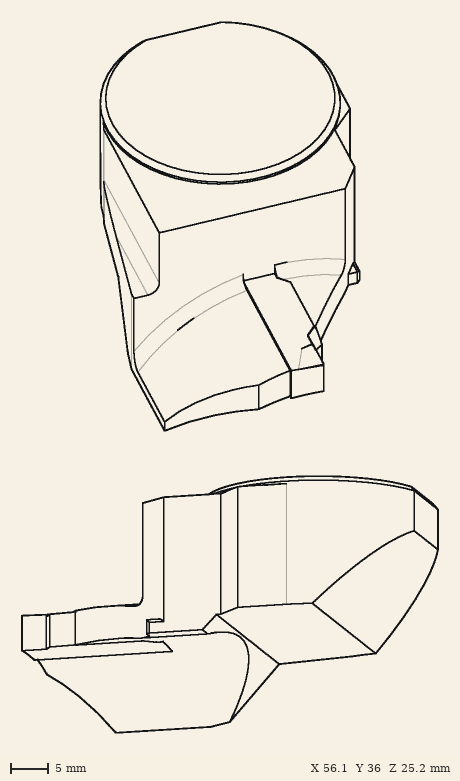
import cadquery as cq
import math


boss_radius = 16.05
boss_top = 17.6
boss_chamfer = 0.75
flat_x = -14.9
flat_chamfer_width = 0.55
nose_cut_x = -3.55

block_top = 16.55
block_front = -16.4
block_end = 21.6
shoulder_x = 6.7
block_back = 12.7
ramp_start_x = 17.9
ramp_end_x = 33.3
ramp_end_y = 1.6
heel_cut_x = 10.6

flange_front = -19.95
flange_top = 5.9
flange_fillet = 1.6
flange_start_x = -1.85
flange_corner = (0, -16.5)
flange_taper_end = 20.6

blade_radius = 24.35
blade_axis_z = -19.9
blade_root_fillet = 1.5
blade_end = 40.3
blade_corner_x = 33.8
blade_corner_y = -8.9
clearance_radius = 30.85
clearance_crown = -0.3
lowest_z = -7.7

ledge_end = 20.4
ledge_floor = -1.95
ledge_chamfer = 0.5

insert_top = 4.4
insert_front = -4.5
insert_wide_y = 1.4
insert_back = 0
insert_tail_x = 22.55
insert_neck_x = 34.7
tip_x = 41.2
tip_relief = 0.45
shoulder_step = 0.15
shoulder_corner = (36.95, 1.25)
shoulder_end_x = 37.8
rake_low_start = (37.0, -1.7)
rake_low_end = (40.85, -3.55)
rake_back_x = 36.7
rake_rise = 0.15

margin = 33.65


def slab(points, bottom, top):
    """Prism with a plan outline between two levels."""
    return cq.Workplane("XY").workplane(offset=bottom).polyline(points).close().extrude(top - bottom)


def side_prism(points):
    """Prism with an XZ outline, passing right through the part along Y."""
    return cq.Workplane("XZ").polyline(points).close().extrude(margin, both=True)


def make_clearance():
    """Convex cylinder that hollows the underside of the heel, blade and insert."""
    axis_z = clearance_crown - clearance_radius
    return (cq.Workplane("YZ").center(0, axis_z).circle(clearance_radius)
            .extrude(2 * margin, both=True))


def make_boss():
    round_part = cq.Workplane("XY").circle(boss_radius).extrude(boss_top)
    round_part = round_part.faces(">Z").edges().chamfer(boss_chamfer)
    flat_envelope = side_prism([
        (flat_x, 0),
        (flat_x, boss_top - boss_chamfer),
        (flat_x + flat_chamfer_width, boss_top),
        (margin, boss_top),
        (margin, 0),
    ])
    return round_part.intersect(flat_envelope)


def make_block():
    drop = boss_radius - block_back
    outline = [
        (0, block_front),
        (block_end, block_front),
        (block_end, insert_back),
        (ramp_end_x, ramp_end_y),
        (ramp_start_x, block_back),
        (shoulder_x + drop, block_back),
        (shoulder_x, boss_radius),
        (0, boss_radius),
    ]
    upper = slab(outline, 0, block_top)
    beyond_end = cq.Workplane("XY").box(margin, 2 * margin, 2 * margin).translate(
        (block_end + margin / 2, 0, 0))
    return upper.cut(beyond_end)


def make_flange():
    """Tapered flange in front of the block, with the fillet that joins it to the block."""
    outline = [
        (flange_start_x, block_front + flange_fillet),
        (flange_start_x, -math.sqrt(boss_radius**2 - flange_start_x**2)),
        flange_corner,
        (flange_taper_end, flange_front),
        (block_end, flange_front),
        (block_end, block_front + flange_fillet),
    ]
    fillet_edge = block_front - flange_fillet
    relief = (
        cq.Workplane("YZ")
        .moveTo(block_front, margin)
        .lineTo(block_front, flange_top + flange_fillet)
        .radiusArc((fillet_edge, flange_top), flange_fillet)
        .lineTo(-margin, flange_top)
        .lineTo(-margin, margin)
        .close()
        .extrude(margin, both=True)
    )
    return slab(outline, 0, block_top).cut(relief)


def make_blade():
    """Heel below the block and the blade beyond it, with the rounded blade top."""
    outline = [
        (0, flange_corner[1]),
        (flange_taper_end, flange_front),
        (blade_corner_x, flange_front),
        (blade_end, blade_corner_y),
        (blade_end, insert_front),
        (ramp_end_x, ramp_end_y),
        (ramp_start_x, block_back),
        (0, block_back),
    ]
    blade = slab(outline, lowest_z, flange_top)
    ledge_depth = block_back / 2
    ledge = cq.Workplane("XY").box(
        ledge_end - heel_cut_x, ledge_depth, -lowest_z, centered=False)
    ledge = ledge.edges("(|Z and >X and >Y) or (>Z and >Y)").chamfer(ledge_chamfer)
    blade = blade.union(ledge.translate((heel_cut_x, block_back - ledge_depth, lowest_z)))

    heel_cut = side_prism([
        (-margin, 0),
        (heel_cut_x, 0),
        (heel_cut_x + margin, -margin),
        (-margin, -margin),
    ])
    ledge_cut = cq.Workplane("XY").box(2 * margin, margin, margin, centered=False).translate(
        (0, 0, ledge_floor - margin))
    flange_relief = cq.Workplane("XY").box(block_end, margin, margin, centered=False).translate(
        (0, block_front + flange_fillet - margin, 0))
    blade_top = (
        cq.Workplane("XZ")
        .moveTo(block_end, blade_axis_z + 2 * margin)
        .lineTo(block_end, blade_axis_z + blade_radius + blade_root_fillet)
        .radiusArc((block_end + blade_root_fillet, blade_axis_z + blade_radius), -blade_root_fillet)
        .lineTo(2 * margin, blade_axis_z + blade_radius)
        .lineTo(2 * margin, blade_axis_z + 2 * margin)
        .close()
        .revolve(360, (0, blade_axis_z, 0), (1, blade_axis_z, 0))
    )
    return blade.cut(heel_cut).cut(ledge_cut).cut(flange_relief).cut(blade_top)


def make_insert():
    wide_step = insert_wide_y - insert_back
    outline = [
        (block_end, insert_front),
        (tip_x - tip_relief, insert_front),
        (tip_x, insert_back),
        (insert_neck_x, insert_back),
        (insert_neck_x - wide_step, insert_wide_y),
        (insert_tail_x + wide_step, insert_wide_y),
        (insert_tail_x, insert_back),
        (block_end, insert_back),
    ]
    bar = slab(outline, lowest_z, insert_top)

    shoulder_outline = [
        (insert_neck_x - wide_step, insert_wide_y),
        (ramp_end_x, ramp_end_y),
        shoulder_corner,
        (shoulder_end_x, insert_back),
        (insert_neck_x, insert_back),
    ]
    shoulder = slab(shoulder_outline, lowest_z, insert_top - shoulder_step)
    return bar.union(shoulder).union(make_rake()).cut(make_clearance())


def make_rake():
    """Tilted facet at the tip: flush along its front edge, rising to the tip."""
    outline = [rake_low_start, rake_low_end, (tip_x, insert_back), (rake_back_x, insert_back)]
    run_x = rake_low_end[0] - rake_low_start[0]
    run_y = rake_low_end[1] - rake_low_start[1]
    run = math.hypot(run_x, run_y)
    tip_dx = tip_x - rake_low_start[0]
    tip_dy = insert_back - rake_low_start[1]
    tip_distance = (tip_dy * run_x - tip_dx * run_y) / run
    low_edge = cq.Plane(
        origin=(*rake_low_start, insert_top),
        xDir=(-run_y / run, run_x / run, 0),
        normal=(run_x / run, run_y / run, 0),
    )
    wedge = (
        cq.Workplane(low_edge)
        .polyline([(0, 0), (tip_distance, 0), (tip_distance, rake_rise)])
        .close()
        .extrude(margin, both=True)
    )
    return slab(outline, insert_top, boss_top).intersect(wedge)


def make_holder(insert):
    nose_cut = side_prism([
        (nose_cut_x, 0),
        (nose_cut_x - margin, margin),
        (nose_cut_x - margin, 0),
    ])
    holder = make_boss().union(make_block()).union(make_flange()).cut(nose_cut)
    holder = holder.union(make_blade()).cut(make_clearance())
    slot = insert.union(insert.translate((0, 0, insert_top / 2)))
    return holder.cut(slot)


insert = make_insert()
holder = make_holder(insert)
result = cq.Compound.makeCompound([holder.val(), insert.val()])